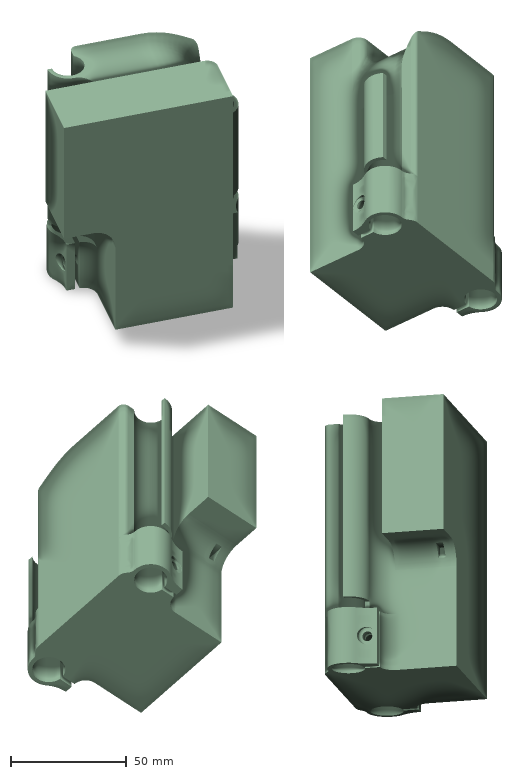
import cadquery as cq
import math

total_length = 58.5
total_height = 115.5
cover_thickness = 1.8
box_back_x = 31.1
box_floor_z = 55.0
overhang_fillet = 10.0
box_corner_radius = 4.7

slab_top_z = 111.6
low_lip = 2.8
high_lip = 1.6
low_lip_corner = 3.0
high_lip_corner = 2.2
shoulder_radius = 26.0
top_fillet = 4.0

bore_radius = 7.2
tube_radius = 9.1
tube_x = 12.1
low_tube_y = 15.9
high_tube_y = 83.4

clamp_height = 25.1
clamp_end_x = 26.0
clamp_slot = 2.0
clamp_jaw_reach = 4.9
relief_top_z = 29.8
screw_x = 21.7
screw_diameter = 4.4
screw_head_diameter = 8.0
screw_head_depth = 0.2

low_shell_start_x = tube_x
high_shell_start_x = 7.3
high_shell_top_z = 75.2
high_shell_fillet = 10.0

cable_hole_width = 3.1
cable_hole_x = 52.2
cable_hole_bottom_z = 48.9
cable_hole_top_z = 54.0
cable_hole_rise = 2.7

cover_x = total_length - cover_thickness
low_wall_y = low_tube_y + bore_radius
high_wall_y = high_tube_y - bore_radius
middle_y = (low_tube_y + high_tube_y) / 2
shoulder_y = high_wall_y - shoulder_radius
shoulder_z = slab_top_z - shoulder_radius
half_slot = clamp_slot / 2
screw_z = clamp_height / 2


def block(x0, x1, y0, y1, z0, z1):
    return cq.Workplane("XY").box(x1 - x0, y1 - y0, z1 - z0, centered=False).translate((x0, y0, z0))


def upright_cylinder(radius, y, z0, z1):
    """Cylinder on a tube axis, with the seam of its round face turned towards -X."""
    plane = cq.Plane(origin=(tube_x, y, z0), xDir=(-1, 0, 0), normal=(0, 0, 1))
    return cq.Workplane(plane).circle(radius).extrude(z1 - z0)


def mirror_to_high(shape):
    """Copy of a shape at the low tube, mirrored to the high tube."""
    return shape.mirror("XZ", (0, middle_y, 0))


def box_prism(x0, x1, top_z):
    """Full-depth upper box on a narrower foot, joined by a concave fillet below the overhang."""
    bend = overhang_fillet * math.sqrt(0.5)
    arc_y = low_wall_y - overhang_fillet
    arc_z = box_floor_z - overhang_fillet
    return (
        cq.Workplane("YZ", origin=(x0, 0, 0))
        .moveTo(low_wall_y, 0)
        .lineTo(high_wall_y, 0)
        .lineTo(high_wall_y, top_z)
        .lineTo(0, top_z)
        .lineTo(0, box_floor_z)
        .lineTo(arc_y, box_floor_z)
        .threePointArc((arc_y + bend, arc_z + bend), (low_wall_y, arc_z))
        .close()
        .extrude(x1 - x0)
    )


def shoulder_cutter():
    """Space above the rounded shoulder: straight beside the box, then swept around the high bore."""
    bend = shoulder_radius * math.sqrt(0.5)

    def above_arc(plane, outer):
        """Profile whose arc drops from `outer` to the wall and which reaches on to the bore axis."""
        inner = outer + shoulder_radius
        far = inner + bore_radius
        return (
            plane.moveTo(outer, slab_top_z)
            .threePointArc((outer + bend, shoulder_z + bend), (inner, shoulder_z))
            .lineTo(far, shoulder_z)
            .lineTo(far, total_height)
            .lineTo(outer, total_height)
            .close()
        )

    straight = above_arc(cq.Workplane("YZ", origin=(tube_x, 0, 0)), shoulder_y)
    straight = straight.extrude(box_back_x + box_corner_radius - tube_x)
    bore_plane = cq.Workplane("XZ", origin=(tube_x, high_tube_y, 0))
    around = above_arc(bore_plane, -bore_radius - shoulder_radius)
    around = around.revolve(360, (0, 0, 0), (0, 1, 0))
    around = around.intersect(block(0, tube_x, 0, high_tube_y, 0, total_height))
    return straight.union(around)


def slab():
    """Slab with rounded back edges; it runs on under the rounded corner of the box."""
    core = block(0, box_back_x + box_corner_radius, low_wall_y, high_wall_y, 0, slab_top_z)
    back = block(0, tube_x, low_wall_y - low_lip, high_wall_y + high_lip, 0, slab_top_z)
    back = back.edges("|Z and <X and <Y").fillet(low_lip_corner)
    back = back.edges("|Z and <X and >Y").fillet(high_lip_corner)
    return core.union(back).cut(shoulder_cutter())


def box_on_slab():
    """Box and slab, with a concave fillet where the slab top and its shoulder meet the box."""
    box = box_prism(box_back_x, cover_x, total_height + top_fillet)
    corner = cq.selectors.NearestToPointSelector((box_back_x, high_wall_y, total_height / 2))
    box = box.edges("|Z").edges(corner).fillet(box_corner_radius)
    body = box.union(slab())
    seam = cq.selectors.BoxSelector(
        (box_back_x - 0.1, low_wall_y, shoulder_z + 1.2),
        (box_back_x + box_corner_radius, high_wall_y, slab_top_z + 1.2),
    )
    body = body.edges(seam).edges("not |Z").fillet(top_fillet)
    return body.cut(block(0, cover_x, 0, high_wall_y, total_height, total_height + 2 * top_fillet))


def tube_to_wall_web(radius):
    """Web between the low tube and the wall, closed by an arc tangent to both."""
    arc_y = low_wall_y - radius
    reach = tube_radius + radius
    run = math.sqrt(reach**2 - (low_tube_y - arc_y) ** 2)
    arc_x = tube_x + run
    touch_x = tube_x + run * tube_radius / reach
    touch_y = low_tube_y + (arc_y - low_tube_y) * tube_radius / reach
    bend = radius * math.sqrt(0.5)
    return (
        cq.Workplane("XY")
        .moveTo(touch_x, touch_y)
        .threePointArc((arc_x - bend, arc_y + bend), (arc_x, low_wall_y))
        .lineTo(tube_x, low_wall_y)
        .lineTo(tube_x, low_tube_y)
        .close()
    )


def shell(start_x, top_z, fillet):
    """Open half shell around the low bore, above the relief gap."""
    tube = upright_cylinder(tube_radius, low_tube_y, clamp_height, top_z)
    tube = tube.intersect(block(start_x, box_back_x, 0, low_wall_y, 0, top_z))
    web = tube_to_wall_web(fillet).extrude(top_z - clamp_height)
    tube = tube.union(web.translate((0, 0, clamp_height)))
    relief = block(0, box_back_x, 0, low_tube_y + half_slot, clamp_height, relief_top_z)
    return tube.cut(relief)


def clamp():
    """Sleeve with a slotted pair of jaws at the foot of the low tube."""
    jaw_y = low_tube_y - clamp_jaw_reach
    run = clamp_end_x - tube_x
    blend = (run**2 + clamp_jaw_reach**2 - tube_radius**2) / (2 * (tube_radius - clamp_jaw_reach))
    blend_y = jaw_y - blend
    share = tube_radius / (tube_radius + blend)
    touch = (tube_x + run * share, low_tube_y + (blend_y - low_tube_y) * share)
    half_angle = math.atan2(run, low_tube_y - blend_y) / 2
    blend_middle = (clamp_end_x - blend * math.sin(half_angle), blend_y + blend * math.cos(half_angle))
    root = bore_radius - half_slot
    inner_jaw_y = low_tube_y + half_slot
    bend = root * math.sqrt(0.5)
    tube_back_x = tube_x - tube_radius
    s_middle_y = (low_tube_y + low_wall_y) / 2
    return (
        cq.Workplane("XY")
        .moveTo(tube_back_x, low_tube_y)
        .threePointArc((tube_x, low_tube_y - tube_radius), touch)
        .threePointArc(blend_middle, (clamp_end_x, jaw_y))
        .lineTo(clamp_end_x, inner_jaw_y)
        .threePointArc((clamp_end_x + root - bend, inner_jaw_y + bend), (clamp_end_x + root, low_wall_y))
        .lineTo(0, low_wall_y)
        .bezier([(0, low_wall_y), (0, s_middle_y), (tube_back_x, s_middle_y), (tube_back_x, low_tube_y)])
        .close()
        .extrude(clamp_height)
    )


def clamp_slot_cutter():
    return block(tube_x, clamp_end_x, low_tube_y - half_slot, low_tube_y + half_slot, 0, clamp_height)


def screw_head_cutter():
    floor_y = low_tube_y - clamp_jaw_reach + screw_head_depth
    return (
        cq.Workplane("XZ", origin=(screw_x, floor_y, screw_z))
        .circle(screw_head_diameter / 2)
        .extrude(floor_y)
    )


def screw_hole_cutter():
    """One hole through both clamps and the slab between them."""
    return (
        cq.Workplane("XZ", origin=(screw_x, 0, screw_z))
        .circle(screw_diameter / 2)
        .extrude(-high_tube_y - tube_radius)
    )


def cable_hole_cutter():
    """Small rectangular recess in the overhang fillet, with a floor that climbs at 45 degrees."""
    arc_z = box_floor_z - overhang_fillet
    arc_y = low_wall_y - overhang_fillet
    mouth_y = arc_y + math.sqrt(overhang_fillet**2 - (cable_hole_bottom_z - arc_z) ** 2)
    return (
        cq.Workplane("YZ", origin=(cable_hole_x - cable_hole_width / 2, 0, 0))
        .moveTo(mouth_y, cable_hole_bottom_z)
        .lineTo(mouth_y + cable_hole_rise, cable_hole_bottom_z + cable_hole_rise)
        .lineTo(mouth_y + cable_hole_rise, cable_hole_top_z)
        .lineTo(arc_y, cable_hole_top_z)
        .lineTo(arc_y, cable_hole_bottom_z)
        .close()
        .extrude(cable_hole_width)
    )


def make_housing():
    body = box_on_slab()
    low_shell = shell(low_shell_start_x, slab_top_z, bore_radius)
    high_shell = shell(high_shell_start_x, high_shell_top_z, high_shell_fillet)
    body = body.union(low_shell).union(mirror_to_high(high_shell))
    body = body.union(clamp()).union(mirror_to_high(clamp()))
    for tube_y in (low_tube_y, high_tube_y):
        body = body.cut(upright_cylinder(bore_radius, tube_y, 0, total_height))
    for cutter in (clamp_slot_cutter(), screw_head_cutter()):
        body = body.cut(cutter).cut(mirror_to_high(cutter))
    return body.cut(screw_hole_cutter()).cut(cable_hole_cutter())


def make_cover():
    return box_prism(cover_x, total_length, total_height)


housing = make_housing()
cover = make_cover()
result = cq.Compound.makeCompound([housing.val(), cover.val()])